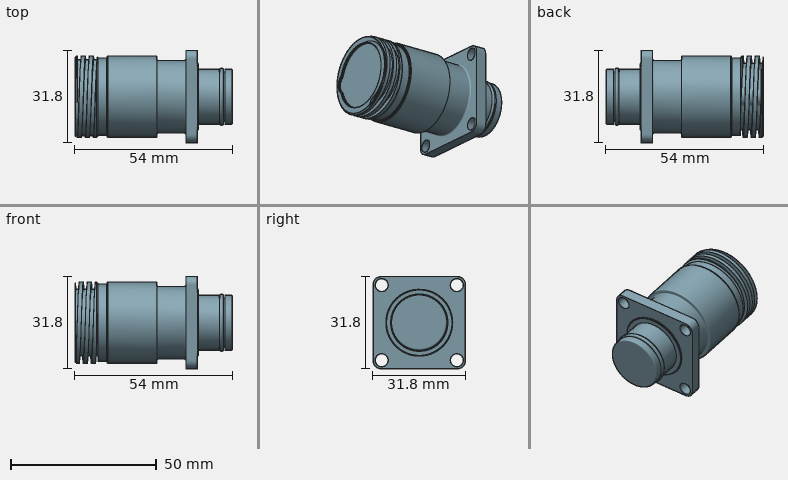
import cadquery as cq

total_length = 54.0
neck_start = 7.9
barrel_start = 11.0
barrel_end = 28.1
flange_front = 38.0
flange_back = 41.95
boss_end = 42.4
seal_groove_start = 49.55
seal_groove_end = 51.4

barrel_radius = 28.0 / 2
rim_radius = 27.0 / 2
neck_radius = 26.6 / 2
shank_radius = 25.0 / 2
boss_radius = 23.0 / 2
spigot_radius = 19.0 / 2
seal_groove_radius = 17.0 / 2

rim_chamfer = barrel_radius - rim_radius
barrel_edge = 0.2
barrel_back_fillet = 0.3
shank_front_fillet = 0.4
flange_fillet = 0.5
boss_chamfer = 0.25
spigot_fillet = 0.5

flange_side = 31.75
bolt_spacing = 25.8
bolt_hole_diameter = 4.4
flange_corner_radius = 2.8

three_turn_advance = 8.3
thread_pitch = three_turn_advance / 3
groove_offset = 1.4
groove_crest_width = 1.45
groove_root_width = 1.15
groove_clearance = 0.55
front_rim_thickness = 0.15

core_radius = 23.0 / 2
key_tip = 12.7
key_radius = 3.6
key_blend_radius = 2.7
bulge_reach = 13.45

recess_inset = 0.15
recess_depth = 0.8
recess_chamfer = 0.2

ring_section_radius = 1.35 / 2
ring_centre_radius = seal_groove_radius + ring_section_radius
ring_centre_x = 50.35


def rod(radius, start, end):
    """Round bar on the X axis from start to end."""
    return cq.Workplane("YZ", origin=(start, 0, 0)).circle(radius).extrude(end - start)


def keyed_bar(inset, length):
    """Round bar from X = 0 with a rounded key on the +Y side; inset shrinks it all round."""
    key_centre = key_tip - key_radius
    bar = rod(core_radius - inset, 0, length)
    key = rod(key_radius - inset, 0, length).translate((0, key_centre, 0))
    blend_edges = cq.selectors.BoxSelector(
        (0, key_centre, -core_radius), (length, core_radius, core_radius)
    )
    return bar.union(key).edges("|X").edges(blend_edges).fillet(key_blend_radius + inset)


def turned_body():
    """Solid of revolution with every step of the housing except the square flange."""
    return (
        cq.Workplane("XY")
        .moveTo(0, 0)
        .lineTo(0, rim_radius)
        .lineTo(rim_chamfer, barrel_radius)
        .lineTo(neck_start - rim_chamfer, barrel_radius)
        .lineTo(neck_start, neck_radius)
        .lineTo(barrel_start - barrel_edge, neck_radius)
        .lineTo(barrel_start, neck_radius + barrel_edge)
        .lineTo(barrel_start, barrel_radius - barrel_edge)
        .lineTo(barrel_start + barrel_edge, barrel_radius)
        .lineTo(barrel_end - barrel_back_fillet, barrel_radius)
        .radiusArc((barrel_end, barrel_radius - barrel_back_fillet), barrel_back_fillet)
        .lineTo(barrel_end, shank_radius + shank_front_fillet)
        .radiusArc((barrel_end + shank_front_fillet, shank_radius), -shank_front_fillet)
        .lineTo(flange_front - flange_fillet, shank_radius)
        .radiusArc((flange_front, shank_radius + flange_fillet), -flange_fillet)
        .lineTo(flange_back, shank_radius + flange_fillet)
        .lineTo(flange_back, boss_radius)
        .lineTo(boss_end - boss_chamfer, boss_radius)
        .lineTo(boss_end, boss_radius - boss_chamfer)
        .lineTo(boss_end, spigot_radius)
        .lineTo(seal_groove_start, spigot_radius)
        .lineTo(seal_groove_start, seal_groove_radius)
        .lineTo(seal_groove_end, seal_groove_radius)
        .lineTo(seal_groove_end, spigot_radius)
        .lineTo(total_length - spigot_fillet, spigot_radius)
        .radiusArc((total_length, spigot_radius - spigot_fillet), spigot_fillet)
        .lineTo(total_length, 0)
        .close()
        .revolve(360, (0, 0, 0), (1, 0, 0))
    )


def square_flange():
    """Square plate with rounded corners and four bolt holes."""
    return (
        cq.Workplane("YZ", origin=(flange_front, 0, 0))
        .rect(flange_side, flange_side)
        .extrude(flange_back - flange_front)
        .edges("|X")
        .fillet(flange_corner_radius)
        .faces("<X")
        .workplane(centerOption="CenterOfBoundBox")
        .rect(bolt_spacing, bolt_spacing, forConstruction=True)
        .vertices()
        .hole(bolt_hole_diameter)
    )


def bulge_bar():
    """Round bar offset towards -Y, over which the thread groove becomes shallow."""
    return rod(core_radius, 0, neck_start).translate((0, core_radius - bulge_reach, 0))


def thread_groove():
    """Helical groove cutter from the front rim to the neck, leaving the keyed core and its bulge."""
    start = groove_offset - 2 * thread_pitch
    length = neck_start + thread_pitch - start
    helix = cq.Workplane(cq.Wire.makeHelix(thread_pitch, length, core_radius, lefthand=True))
    outer_radius = barrel_radius + groove_clearance
    cutter = (
        cq.Workplane("XZ")
        .moveTo(core_radius - groove_clearance, -groove_root_width / 2)
        .lineTo(core_radius - groove_clearance, groove_root_width / 2)
        .lineTo(outer_radius, groove_crest_width / 2)
        .lineTo(outer_radius, -groove_crest_width / 2)
        .close()
        .sweep(helix, isFrenet=True)
        .rotate((0, 0, 0), (1, 1, 1), 120)
        .translate((start, 0, 0))
    )
    threaded_length = rod(2 * barrel_radius, front_rim_thickness, neck_start)
    return cutter.intersect(threaded_length).cut(keyed_bar(0, neck_start)).cut(bulge_bar())


def cut_mating_recess(body):
    """Cut the shallow keyed recess into the mating face and chamfer its mouth."""
    recessed = body.cut(keyed_bar(recess_inset, recess_depth))
    mouth_edges = cq.selectors.BoxSelector(
        (-recess_chamfer, -key_tip, -key_tip), (recess_chamfer, key_tip, key_tip), boundingbox=True
    )
    return recessed.edges(mouth_edges).chamfer(recess_chamfer)


def make_housing():
    body = cut_mating_recess(turned_body().union(square_flange()))
    return body.cut(thread_groove())


def make_sealing_ring():
    """Round-section ring resting on the floor of the seal groove, clear of both walls."""
    return cq.Workplane(
        cq.Solid.makeTorus(
            ring_centre_radius, ring_section_radius, cq.Vector(ring_centre_x, 0, 0), cq.Vector(1, 0, 0)
        )
    )


housing = make_housing()
sealing_ring = make_sealing_ring()
result = cq.Compound.makeCompound([housing.solids().val(), sealing_ring.val()])